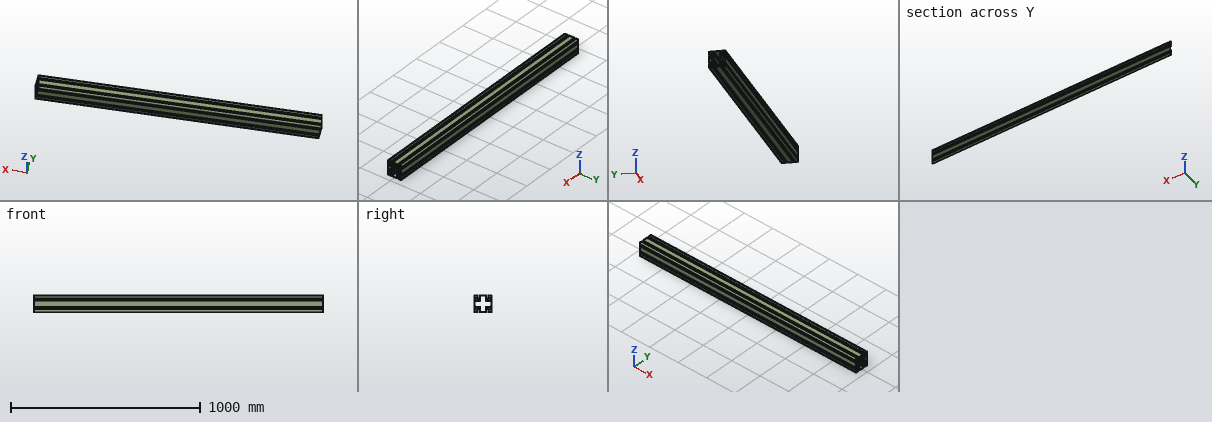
import cadquery as cq

length = 1524
side = 90
corner_radius = 2.5

slot_opening = 9.2
slot_depth = 15.0
lip_thickness = 4.5
lip_radius = 0.3
undercut_width = 13.0
undercut_straight = 4.5

skin = 1.75
slot_wall = 1.5
bore_diameter = 9.0
cavity_radius = 2.5

half = side / 2
slot_offset = side / 4
opening_half = slot_opening / 2
undercut_half = undercut_width / 2
cavity_reach = half - skin
arm_half = slot_offset - undercut_half - slot_wall
chamber_start = slot_offset + undercut_half + slot_wall
selection_margin = 0.1


def rectangular_prism(width, height):
    """Bar along X with a rectangular section centred on the X axis."""
    return cq.Workplane("YZ").rect(width, height).extrude(length)


def central_cavity():
    """Cross-shaped hollow with rounded corners."""
    span = 2 * cavity_reach
    arm_width = 2 * arm_half
    cross = rectangular_prism(span, arm_width).union(rectangular_prism(arm_width, span))
    return cross.edges("|X").fillet(cavity_radius)


def slot_cutter(offset):
    """T-slot open to the +Z side, with a floor tapering in from the undercut."""
    lip_bottom = half - lip_thickness
    shoulder = lip_bottom - undercut_straight
    floor = half - slot_depth
    right_side = [
        (opening_half, half),
        (opening_half, lip_bottom),
        (undercut_half, lip_bottom),
        (undercut_half, shoulder),
        (opening_half, floor),
    ]
    left_side = [(-y, z) for y, z in reversed(right_side)]
    slot = cq.Workplane("YZ").polyline(right_side + left_side).close().extrude(length)
    return slot.translate((0, offset, 0))


def corner_chamber():
    """Square hollow with rounded corners inside the +Y +Z corner."""
    size = cavity_reach - chamber_start
    centre = (cavity_reach + chamber_start) / 2
    chamber = rectangular_prism(size, size).edges("|X").fillet(cavity_radius)
    return chamber.translate((0, centre, centre))


def core_bore():
    """Round bore through the core where two neighbouring slots meet."""
    core = cq.Workplane("YZ").center(slot_offset, slot_offset)
    return core.circle(bore_diameter / 2).extrude(length)


def quarter_turn(shape):
    return shape.rotate((0, 0, 0), (1, 0, 0), 90)


def round_slot_mouths(part):
    """Round the long slot edges on the +Z side."""
    reach = slot_offset + opening_half + selection_margin
    mouth_edges = cq.selectors.BoxSelector(
        (0, -reach, half - selection_margin),
        (length, reach, half + selection_margin),
    )
    return part.edges(mouth_edges).edges("|X").fillet(lip_radius)


body = rectangular_prism(side, side).edges("|X").fillet(corner_radius)
body = body.cut(central_cavity())

for _ in range(4):
    for offset in (-slot_offset, slot_offset):
        body = body.cut(slot_cutter(offset))
    body = body.cut(corner_chamber())
    body = body.cut(core_bore())
    body = round_slot_mouths(body)
    body = quarter_turn(body)

result = body